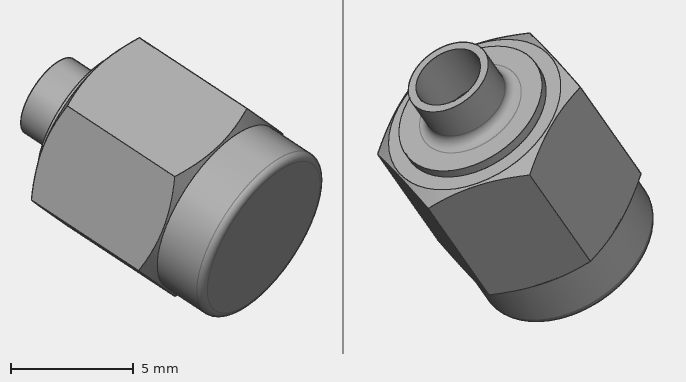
import cadquery as cq
import math

length = 11.38
tube_end = 1.59
flange_start = 2.08
nut_start = 2.48
nut_end = 8.98

tube_radius = 1.81
bore_radius = 1.46
inner_bore_radius = 1.18
flange_radius = 3.23
sleeve_radius = 3.89
nut_across_flats = 7.94
nut_across_corners = nut_across_flats / math.cos(math.radians(30))

root_fillet = flange_start - tube_end
sleeve_fillet = 0.31
chamfer_angle = 30.0
bore_depth = nut_start
inner_bore_depth = 3.41


def cylinder(radius, start, end):
    """Solid cylinder about the X axis between two stations."""
    return cq.Workplane("YZ", origin=(start, 0, 0)).circle(radius).extrude(end - start)


def hex_nut():
    """Hexagon with flats at top and bottom, its corners chamfered at both ends."""
    prism = (
        cq.Workplane("YZ", origin=(nut_start, 0, 0))
        .polygon(6, nut_across_corners)
        .extrude(nut_end - nut_start)
    )
    corner_radius = nut_across_corners / 2
    chamfer_length = (corner_radius - sleeve_radius) * math.tan(math.radians(chamfer_angle))
    envelope = (
        cq.Workplane("XY")
        .moveTo(nut_start, 0)
        .lineTo(nut_start, sleeve_radius)
        .lineTo(nut_start + chamfer_length, corner_radius)
        .lineTo(nut_end - chamfer_length, corner_radius)
        .lineTo(nut_end, sleeve_radius)
        .lineTo(nut_end, 0)
        .close()
        .revolve(360, (0, 0, 0), (1, 0, 0))
    )
    return prism.intersect(envelope)


def tube_and_flange():
    """Tube that flares through a concave fillet into the round flange."""
    return (
        cq.Workplane("XY")
        .lineTo(0, tube_radius)
        .lineTo(tube_end, tube_radius)
        .radiusArc((flange_start, tube_radius + root_fillet), -root_fillet)
        .lineTo(flange_start, flange_radius)
        .lineTo(nut_start, flange_radius)
        .lineTo(nut_start, 0)
        .close()
        .revolve(360, (0, 0, 0), (1, 0, 0))
    )


sleeve = cylinder(sleeve_radius, nut_end, length).faces(">X").edges().fillet(sleeve_fillet)
body = tube_and_flange().union(hex_nut()).union(sleeve)

bore = cylinder(bore_radius, 0, bore_depth)
inner_bore = cylinder(inner_bore_radius, bore_depth, inner_bore_depth)
result = body.cut(bore).cut(inner_bore)